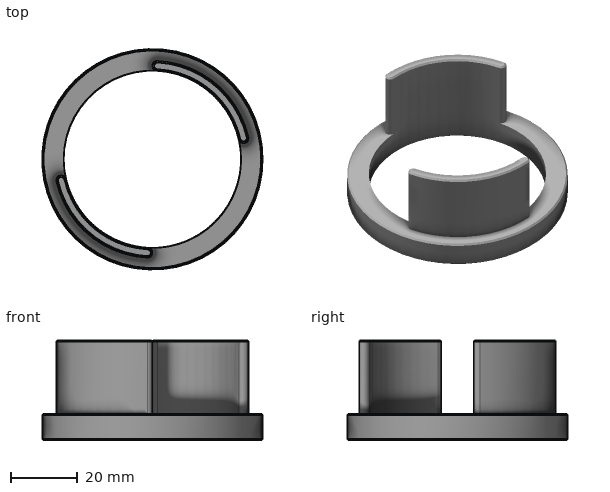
import cadquery as cq
import math

outer_diameter = 66.0
bore_diameter = 53.0
ring_height = 8.0
edge_chamfer = 0.5

total_height = 30.0
wall_thickness = 3.0
wall_start_angle = 10.0
wall_end_angle = 90.0
wall_count = 2

bore_radius = bore_diameter / 2
wall_outer_radius = bore_radius + wall_thickness
wall_middle_radius = bore_radius + wall_thickness / 2
wall_height = total_height - ring_height
end_round_angle = math.degrees(math.asin(wall_thickness / 2 / wall_middle_radius))


def polar(radius, angle, sideways=0.0):
    """Point at a radius and angle (degrees), shifted along the circle's tangent."""
    a = math.radians(angle)
    return (
        radius * math.cos(a) - sideways * math.sin(a),
        radius * math.sin(a) + sideways * math.cos(a),
    )


def make_ring():
    """Ring with chamfered outer edges and a chamfered bore edge underneath."""
    disc = cq.Workplane("XY").circle(outer_diameter / 2).extrude(ring_height)
    ring = disc.edges().chamfer(edge_chamfer).faces(">Z").workplane().hole(bore_diameter)
    return ring.faces("<Z").edges(cq.selectors.RadiusNthSelector(0)).chamfer(edge_chamfer)


def make_wall():
    """Curved wall with full-round ends and a chamfered top rim."""
    start = wall_start_angle + end_round_angle
    end = wall_end_angle - end_round_angle
    middle = (start + end) / 2
    end_radius = wall_thickness / 2
    return (
        cq.Workplane("XY", origin=(0, 0, ring_height))
        .moveTo(*polar(bore_radius, start))
        .threePointArc(polar(wall_middle_radius, start, -end_radius), polar(wall_outer_radius, start))
        .threePointArc(polar(wall_outer_radius, middle), polar(wall_outer_radius, end))
        .threePointArc(polar(wall_middle_radius, end, end_radius), polar(bore_radius, end))
        .threePointArc(polar(bore_radius, middle), polar(bore_radius, start))
        .close()
        .extrude(wall_height)
        .faces(">Z")
        .chamfer(edge_chamfer)
    )


result = make_ring()
wall = make_wall()
for index in range(wall_count):
    turn = index * 360 / wall_count
    result = result.union(wall.rotate((0, 0, 0), (0, 0, 1), turn))